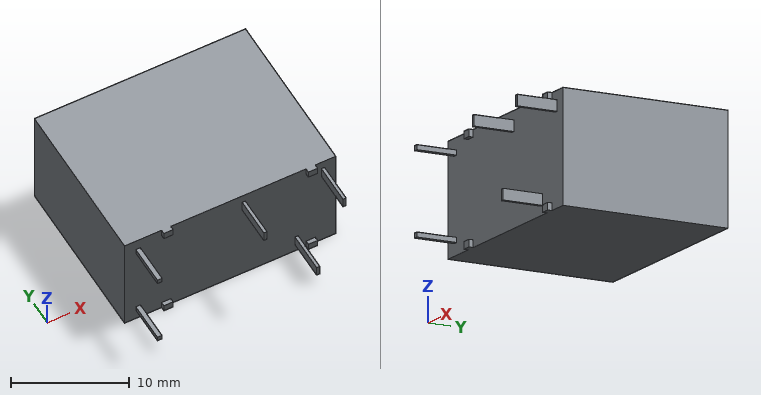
import cadquery as cq

case_width = 20.3
case_depth = 15.81
case_height = 10.3

foot_width = 0.9
foot_height = 0.67
foot_length = 0.4
foot_spacing = 13.89
feet_center_x = 0.8

terminal_length = 3.8
terminal_pitch = 2.54
upper_row_z = 3 * terminal_pitch / 2
lower_row_z = -upper_row_z
coil_pin_size = 0.45
blade_thickness = 0.3
blade_height = 1.02
coil_pin_x = -8.85
upper_inner_blade_x = coil_pin_x + 4 * terminal_pitch
upper_outer_blade_x = coil_pin_x + 7 * terminal_pitch
lower_blade_x = coil_pin_x + 6 * terminal_pitch


def projection(x, z, width, height, length):
    """Bar centered on (x, z), reaching from the mounting face toward -Y."""
    return cq.Workplane("XY").box(width, length, height).translate((x, -length / 2, z))


result = cq.Workplane("XY").box(case_width, case_depth, case_height).translate((0, case_depth / 2, 0))

foot_z = (case_height - foot_height) / 2
for side_x in (-1, 1):
    for side_z in (-1, 1):
        foot_x = feet_center_x + side_x * foot_spacing / 2
        result = result.union(projection(foot_x, side_z * foot_z, foot_width, foot_height, foot_length))

for row_z in (upper_row_z, lower_row_z):
    result = result.union(projection(coil_pin_x, row_z, coil_pin_size, coil_pin_size, terminal_length))

blade_places = [
    (upper_inner_blade_x, upper_row_z),
    (upper_outer_blade_x, upper_row_z),
    (lower_blade_x, lower_row_z),
]
for blade_x, blade_z in blade_places:
    result = result.union(projection(blade_x, blade_z, blade_thickness, blade_height, terminal_length))